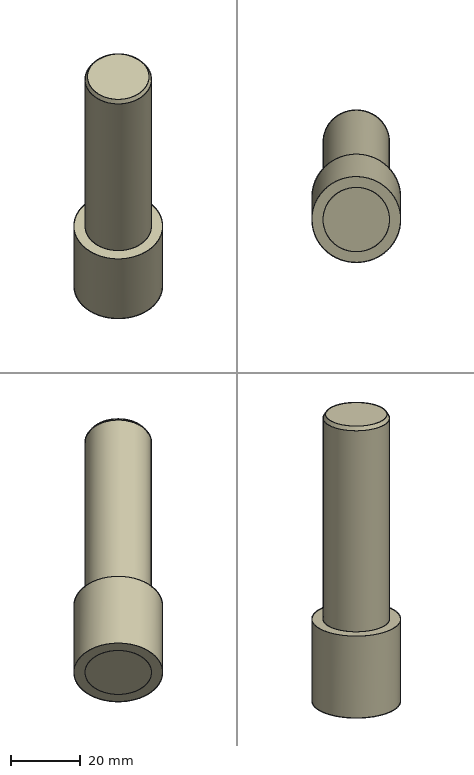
import cadquery as cq

pin_length = 88.9
pin_diameter = 19.0
chamfer_height = 1.2
chamfer_inset = 0.7
sleeve_diameter = 25.4
sleeve_length = 25.4


def make_pin():
    """Round pin along Z, standing on Z = 0, with a chamfered top rim."""
    pin_radius = pin_diameter / 2
    half_profile = (
        cq.Workplane("XZ")
        .lineTo(pin_radius, 0)
        .lineTo(pin_radius, pin_length - chamfer_height)
        .lineTo(pin_radius - chamfer_inset, pin_length)
        .lineTo(0, pin_length)
        .close()
    )
    return half_profile.revolve(360, (0, 0, 0), (0, 1, 0))


def make_sleeve():
    """Plain sleeve around the lower end of the pin, bored to the pin diameter."""
    return (
        cq.Workplane("XY")
        .circle(sleeve_diameter / 2)
        .circle(pin_diameter / 2)
        .extrude(sleeve_length)
    )


pin = make_pin()
sleeve = make_sleeve()

result = cq.Compound.makeCompound([pin.val(), sleeve.val()])